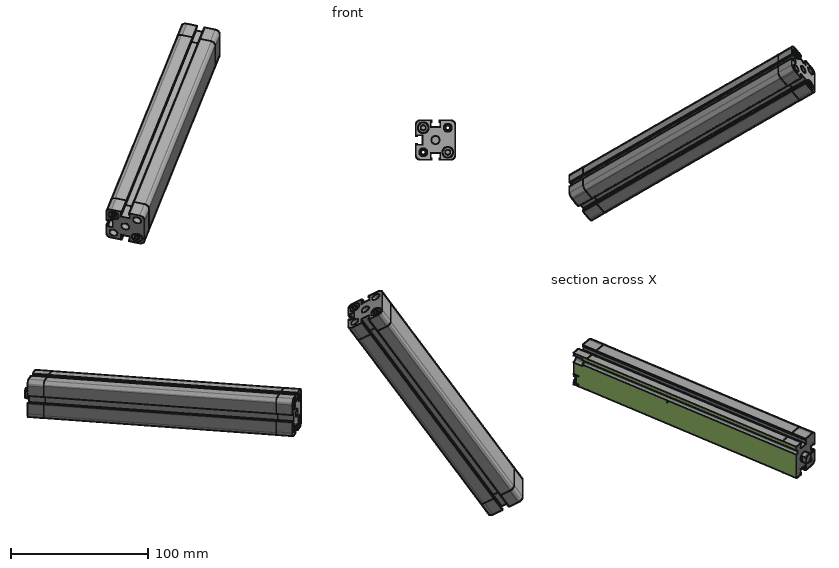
import cadquery as cq
import math

BODY_LENGTH = 198.0
CAP_LENGTH = 12.2
CAP_WIDTH = 29.05
MIDDLE_FLAT_INSET = 0.11
MIDDLE_WIDTH = CAP_WIDTH - 2 * MIDDLE_FLAT_INSET
CAP_CORNER_RADIUS = 3.8
MIDDLE_CORNER_INSET = 0.05

SLOT_OPENING = 5.4
SLOT_BEVEL_WIDTH = 0.55
SLOT_BEVEL_DEPTH = 0.05
SLOT_INNER_WIDTH = 6.7
SLOT_LIP = 1.3
SLOT_DEPTH = 5.0
SLOT_ANGLES = (0, 90, 180)

HOLE_OFFSET = 8.95
CENTER_HOLE_DIAMETER = 6.0
CENTER_HOLE_DEPTH = 6.0
THROUGH_HOLE_DIAMETER = 3.24
COUNTERBORE_DIAMETER = 6.0
COUNTERBORE_DEPTH = 8.0
SCREW_POCKET_DIAMETER = 8.0
SCREW_POCKET_DEPTH = 5.0
SCREW_HEAD_DIAMETER = 7.5
SCREW_HEAD_RECESS = 0.2
SOCKET_ACROSS_FLATS = 3.5
SOCKET_DEPTH = 2.0

OVERALL_LENGTH = 202.5
ROD_DIAMETER = 8.0
ROD_LEAD_LENGTH = 1.5
ROD_LEAD_DEPTH = 0.35
ROD_FLATS_WIDTH = 6.0
ROD_ROUND_LENGTH = 0.8


def cylinder(diameter, start, end, x=0.0, z=0.0):
    """Cylinder along Y from start to end."""
    base = cq.Workplane("XZ", origin=(x, start, z))
    return base.circle(diameter / 2).extrude(start - end)


def make_section(width, corner_inset, start, end):
    """Slotted stretch of the profile; all corner arcs are concentric with those of the caps."""
    length = end - start
    rounded_width = CAP_WIDTH - 2 * corner_inset
    rounded = cq.Workplane("XZ").rect(rounded_width, rounded_width).extrude(-length)
    rounded = rounded.edges("|Y").fillet(CAP_CORNER_RADIUS - corner_inset)
    section = rounded.intersect(cq.Workplane("XZ").rect(width, width).extrude(-length))
    for angle in SLOT_ANGLES:
        slot = make_slot(width / 2, length)
        section = section.cut(slot.rotate((0, 0, 0), (0, 1, 0), -angle))
    return section.translate((0, start, 0))


def make_slot(top, length):
    """Undercut slot with bevelled mouth, opening upward at height top."""
    mouth_half = SLOT_OPENING / 2 + SLOT_BEVEL_WIDTH
    opening_half = SLOT_OPENING / 2
    inner_half = SLOT_INNER_WIDTH / 2
    floor = top - SLOT_DEPTH
    lip_bottom = top - SLOT_LIP
    right_side = [
        (inner_half, floor),
        (inner_half, lip_bottom),
        (opening_half, lip_bottom),
        (opening_half, top - SLOT_BEVEL_DEPTH),
        (mouth_half, top),
    ]
    left_side = [(-x, z) for x, z in reversed(right_side)]
    return cq.Workplane("XZ").polyline(right_side + left_side).close().extrude(-length)


def make_body():
    rear_cap_start = BODY_LENGTH - CAP_LENGTH
    front_cap = make_section(CAP_WIDTH, 0, 0, CAP_LENGTH)
    middle = make_section(MIDDLE_WIDTH, MIDDLE_CORNER_INSET, CAP_LENGTH, rear_cap_start)
    rear_cap = make_section(CAP_WIDTH, 0, rear_cap_start, BODY_LENGTH)
    return front_cap.union(middle).union(rear_cap)


def cut_through_holes(body):
    """Counterbored through holes on one diagonal."""
    for side in (-1, 1):
        place = (side * HOLE_OFFSET, side * HOLE_OFFSET)
        body = body.cut(cylinder(THROUGH_HOLE_DIAMETER, 0, BODY_LENGTH, *place))
        body = body.cut(cylinder(COUNTERBORE_DIAMETER, 0, COUNTERBORE_DEPTH, *place))
    return body


def hexagonal_socket(x, z):
    """Hexagonal recess with corners pointing up and down."""
    corner_diameter = SOCKET_ACROSS_FLATS / math.cos(math.pi / 6)
    outline = cq.Workplane("XZ").polygon(6, corner_diameter).extrude(-SOCKET_DEPTH)
    return outline.rotate((0, 0, 0), (0, 1, 0), 90).translate((x, SCREW_HEAD_RECESS, z))


def add_screws(body):
    """Socket-head screws sunk in pockets on the other diagonal."""
    for side in (-1, 1):
        place = (side * HOLE_OFFSET, -side * HOLE_OFFSET)
        head = cylinder(SCREW_HEAD_DIAMETER, SCREW_HEAD_RECESS, SCREW_POCKET_DEPTH, *place)
        socket = hexagonal_socket(*place)
        body = body.cut(cylinder(SCREW_POCKET_DIAMETER, 0, SCREW_POCKET_DEPTH, *place))
        body = body.union(head.cut(socket))
    return body


def make_rod():
    """Rod end with a tapered tip and two flats facing X."""
    rod = cylinder(ROD_DIAMETER, BODY_LENGTH, OVERALL_LENGTH)
    rod = rod.faces(">Y").edges().chamfer(ROD_LEAD_LENGTH, ROD_LEAD_DEPTH)
    flats_start = BODY_LENGTH + ROD_ROUND_LENGTH
    flats_length = OVERALL_LENGTH - flats_start
    cutter_width = ROD_DIAMETER
    for side in (-1, 1):
        cutter = cq.Workplane("XY").box(cutter_width, flats_length, ROD_DIAMETER, centered=(True, False, True))
        cutter_x = side * (ROD_FLATS_WIDTH + cutter_width) / 2
        rod = rod.cut(cutter.translate((cutter_x, flats_start, 0)))
    return rod


body = make_body()
body = body.cut(cylinder(CENTER_HOLE_DIAMETER, 0, CENTER_HOLE_DEPTH))
body = cut_through_holes(body)
body = add_screws(body)
result = body.union(make_rod())